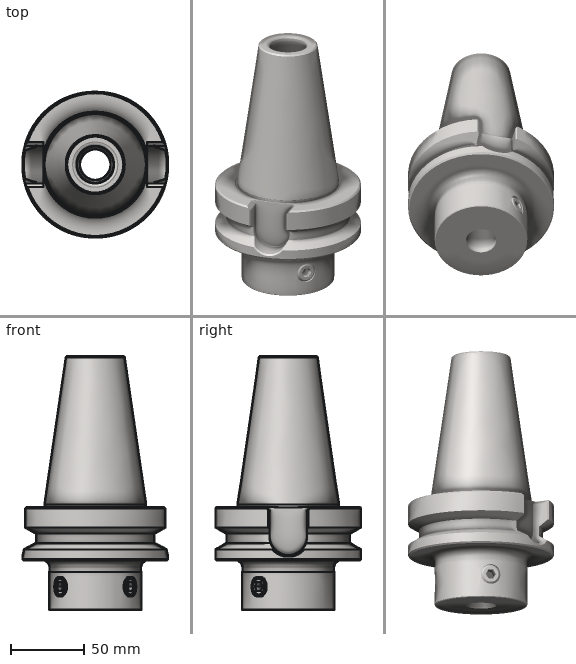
import cadquery as cq
import math

pick_margin = 0.2

total_height = 173.8
gauge_height = 72.0
gauge_radius = 35.0
taper_ratio = 7 / 24
taper_bottom_z = 72.3
taper_top_chamfer = 0.9

flange_diameter = 100.0
flange_radius = flange_diameter / 2
flange_bottom_z = 34.0
flange_top_z = 70.5
flange_chamfer = 1.0
groove_radius = 42.4
groove_centre_z = 49.0
groove_floor_width = 6.6
groove_flank_angle = 30
groove_corner_radius = 0.5
relief_outer_radius = 36.3
relief_depth = 0.3
relief_undercut = 0.2

nose_diameter = 63.5
nose_radius = nose_diameter / 2
nose_top_z = 26.0
nose_chamfer = 0.5
neck_radius = 31.5
neck_fillet = 4.7

bore_radius = 10.5
pilot_radius = 12.5
pilot_depth = 13.2
pilot_seat_depth = 15.0
mouth_radius = 12.9
mouth_depth = 1.2
mouth_cone_depth = 3.0
mouth_outer_radius = 15.5

slot_half_width = 12.9
slot_floor_x = 35.5
slot_arc_z = 50.4
slot_floor_fillet = 0.7
slot_bevel = 2.6
slot_edge_chamfer = 1.0

screw_radius = 6.8
screw_length = 17.4
screw_face_distance = 31.5
screw_chamfer = 1.4
screw_z = 16.0
screw_angles = (-140, -40)
socket_across_flats = 6.0
socket_depth = 7.5


def taper_radius(z):
    """Radius of the taper at height z."""
    return gauge_radius - (z - gauge_height) * taper_ratio / 2


def revolve_outline():
    """The turned outer shape, solid, without bore or slots."""
    groove_rise = (flange_radius - groove_radius) * math.tan(math.radians(groove_flank_angle))
    groove_low_z = groove_centre_z - groove_floor_width / 2
    groove_high_z = groove_centre_z + groove_floor_width / 2
    chamfered_radius = flange_radius - flange_chamfer
    fillet_middle = neck_fillet * (1 - math.sqrt(0.5))
    taper_bottom_radius = taper_radius(taper_bottom_z)
    relief_neck_radius = taper_bottom_radius - relief_undercut
    taper_end_z = total_height - taper_top_chamfer
    outline = (
        cq.Workplane("XZ")
        .lineTo(nose_radius - nose_chamfer, 0)
        .lineTo(nose_radius, nose_chamfer)
        .lineTo(nose_radius, nose_top_z)
        .lineTo(neck_radius, nose_top_z)
        .lineTo(neck_radius, flange_bottom_z - neck_fillet)
        .threePointArc(
            (neck_radius + fillet_middle, flange_bottom_z - fillet_middle),
            (neck_radius + neck_fillet, flange_bottom_z),
        )
        .lineTo(chamfered_radius, flange_bottom_z)
        .lineTo(flange_radius, flange_bottom_z + flange_chamfer)
        .lineTo(flange_radius, groove_low_z - groove_rise)
        .lineTo(groove_radius, groove_low_z)
        .lineTo(groove_radius, groove_high_z)
        .lineTo(flange_radius, groove_high_z + groove_rise)
        .lineTo(flange_radius, flange_top_z - flange_chamfer)
        .lineTo(chamfered_radius, flange_top_z)
        .lineTo(relief_outer_radius, flange_top_z)
        .lineTo(relief_outer_radius - relief_depth, flange_top_z - relief_depth)
        .lineTo(relief_neck_radius, flange_top_z - relief_depth)
        .lineTo(relief_neck_radius, taper_bottom_z - relief_undercut)
        .lineTo(taper_bottom_radius, taper_bottom_z)
        .lineTo(taper_radius(taper_end_z), taper_end_z)
        .lineTo(taper_radius(total_height) - taper_top_chamfer, total_height)
        .lineTo(0, total_height)
        .close()
    )
    turned = outline.revolve(360, (0, 0), (0, 1))
    reach = groove_radius + pick_margin
    lower_corner = cq.selectors.BoxSelector(
        (-reach, -reach, groove_low_z - pick_margin),
        (reach, reach, groove_low_z + pick_margin),
        boundingbox=True,
    )
    return turned.edges(lower_corner).fillet(groove_corner_radius)


def bore_tool():
    """Through bore with the pilot bore, its conical seat and the rounded mouth at the top."""
    mouth_width = mouth_outer_radius - mouth_radius
    arc_radius = (mouth_width**2 + mouth_depth**2) / (2 * mouth_depth)
    half_arc_angle = math.atan(mouth_depth / mouth_width)
    arc_middle = (
        mouth_outer_radius - arc_radius * math.sin(half_arc_angle),
        total_height - arc_radius * (1 - math.cos(half_arc_angle)),
    )
    outline = (
        cq.Workplane("XZ")
        .lineTo(bore_radius, 0)
        .lineTo(bore_radius, total_height - pilot_seat_depth)
        .lineTo(pilot_radius, total_height - pilot_depth)
        .lineTo(pilot_radius, total_height - mouth_cone_depth)
        .lineTo(mouth_radius, total_height - mouth_depth)
        .threePointArc(arc_middle, (mouth_outer_radius, total_height))
        .lineTo(0, total_height)
        .close()
    )
    return outline.revolve(360, (0, 0), (0, 1))


def slot_tool():
    """U-shaped drive slot on the +X side: round at the bottom, flared at the flange top."""
    bevel_half_width = slot_half_width + slot_bevel
    bevel_low_z = flange_top_z - slot_bevel
    slot_length = flange_radius - slot_floor_x + slot_edge_chamfer
    above_flange_z = flange_top_z + slot_half_width
    return (
        cq.Workplane("YZ", origin=(slot_floor_x, 0, 0))
        .moveTo(slot_half_width, slot_arc_z)
        .lineTo(slot_half_width, bevel_low_z)
        .lineTo(bevel_half_width, flange_top_z)
        .lineTo(bevel_half_width, above_flange_z)
        .lineTo(-bevel_half_width, above_flange_z)
        .lineTo(-bevel_half_width, flange_top_z)
        .lineTo(-slot_half_width, bevel_low_z)
        .lineTo(-slot_half_width, slot_arc_z)
        .threePointArc((0, slot_arc_z - slot_half_width), (slot_half_width, slot_arc_z))
        .close()
        .extrude(slot_length)
        .faces("<X")
        .edges()
        .fillet(slot_floor_fillet)
    )


def place_at_screw(shape, angle):
    """Moves a shape modelled along +X to the given screw position."""
    return shape.rotate((0, 0, 0), (0, 0, 1), angle).translate((0, 0, screw_z))


def screw_blank(length):
    """Plain cylinder of the screw size along +X, starting at the inner end of the screw."""
    inner_end = screw_face_distance - screw_length
    return cq.Workplane("YZ", origin=(inner_end, 0, 0)).circle(screw_radius).extrude(length)


def make_screw(angle):
    """Headless clamping screw with a chamfered outer end and a hexagon socket."""
    socket_across_corners = socket_across_flats / math.cos(math.radians(30))
    screw = (
        screw_blank(screw_length)
        .faces(">X")
        .chamfer(screw_chamfer)
        .faces(">X")
        .workplane()
        .polygon(6, socket_across_corners)
        .cutBlind(-socket_depth)
    )
    return place_at_screw(screw, angle)


def chamfer_slot_edges(holder):
    """Breaks the edges where the drive slots meet the flange rim."""
    edge_x = math.sqrt(flange_radius**2 - slot_half_width**2)
    box = cq.selectors.BoxSelector
    reach = slot_half_width + pick_margin
    for side in (-1, 1):
        near = side * (edge_x - pick_margin)
        far = side * (flange_radius + pick_margin)
        low = (min(near, far), -reach, flange_bottom_z + flange_chamfer + pick_margin)
        high = (max(near, far), reach, flange_top_z - flange_chamfer)
        holder = holder.edges(box(low, high, boundingbox=True)).chamfer(slot_edge_chamfer)
    return holder


def make_holder():
    """The tool holder with its bore, drive slots and screw holes."""
    holder = revolve_outline().cut(bore_tool())
    slot = slot_tool()
    for slot_angle in (0, 180):
        holder = holder.cut(slot.rotate((0, 0, 0), (0, 0, 1), slot_angle))
    holder = chamfer_slot_edges(holder)
    for angle in screw_angles:
        holder = holder.cut(place_at_screw(screw_blank(nose_radius), angle))
    return holder


holder = make_holder()
screws = [make_screw(angle) for angle in screw_angles]
result = cq.Compound.makeCompound([holder.val(), *[screw.val() for screw in screws]])